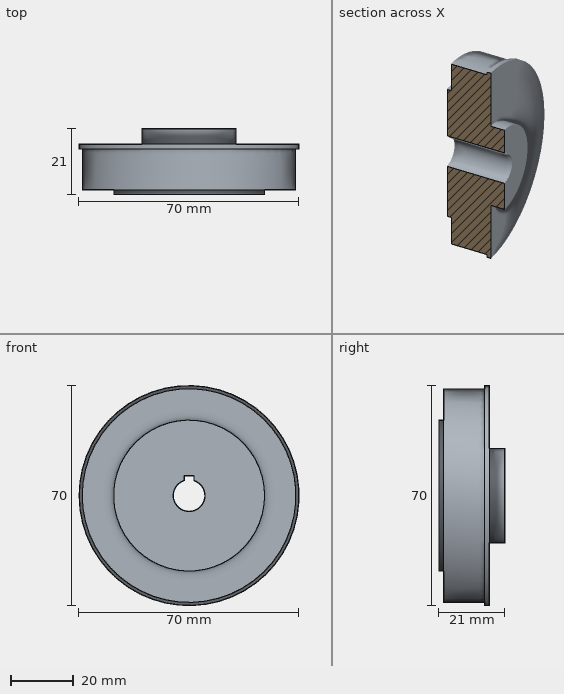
import cadquery as cq

flange_diameter = 70.0
rim_diameter = 68.0
front_boss_diameter = 48.0
hub_diameter = 30.0
bore_diameter = 10.0

total_width = 21.0
front_boss_width = 1.5
rim_width = 13.0
flange_width = 1.55
hub_width = total_width - front_boss_width - rim_width - flange_width

keyway_width = 3.0
keyway_top = 6.3


def add_step(body, diameter, width):
    """Stack a disc on the rear (+Y) face of the body."""
    return body.faces(">Y").workplane(origin=(0, 0, 0)).circle(diameter / 2).extrude(width)


pulley = cq.Workplane("XZ").circle(front_boss_diameter / 2).extrude(-front_boss_width)
pulley = add_step(pulley, rim_diameter, rim_width)
pulley = add_step(pulley, flange_diameter, flange_width)
pulley = add_step(pulley, hub_diameter, hub_width)

bore = cq.Workplane("XZ").circle(bore_diameter / 2).extrude(-total_width)
keyway = cq.Workplane("XY").box(
    keyway_width, total_width, keyway_top, centered=(True, False, False)
)

result = pulley.cut(bore.union(keyway))